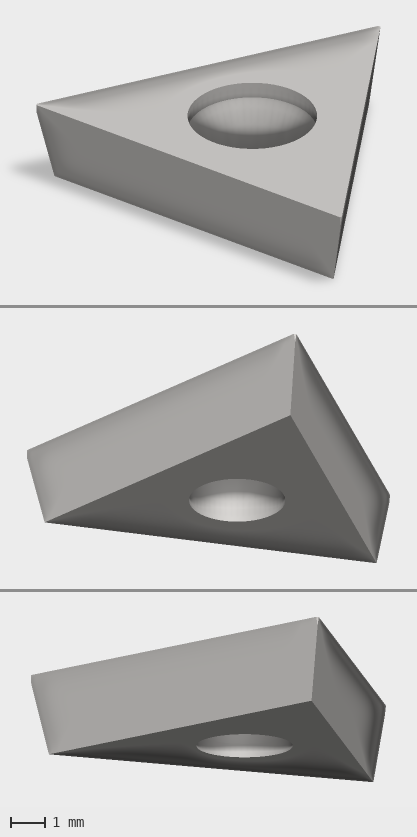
import cadquery as cq
import math

top_width = 10.93
thickness = 2.38

clearance_angle = 7
corner_cut = 0.07

bore_radius = 1.4
seat_radius = 1.88
seat_wall_depth = 0.49
seat_bottom_depth = 1.98

sharp_side = top_width + corner_cut / math.cos(math.radians(30))
corner_radius = sharp_side / math.sqrt(3)
top_height = top_width * math.sqrt(3) / 2
hole_y = sharp_side / (2 * math.sqrt(3)) - top_height / 2
bottom_z = -thickness / 2
top_z = thickness / 2


def tapered_triangle():
    """Equilateral triangle, one tip toward +Y, narrowing downward."""
    corners = []
    for angle in (90, 210, 330):
        turn = math.radians(angle)
        corners.append((corner_radius * math.cos(turn), hole_y + corner_radius * math.sin(turn)))
    return (
        cq.Workplane("XY", origin=(0, 0, top_z))
        .polyline(corners)
        .close()
        .extrude(-thickness, taper=clearance_angle)
    )


def corner_flats(body):
    """Cut each corner with a vertical plane square to its bisector."""
    flat_distance = corner_radius - corner_cut
    block_size = 2 * thickness
    block = cq.Workplane("XY").box(block_size, block_size, block_size)
    block = block.translate((flat_distance + block_size / 2, 0, 0))
    for angle in (90, 210, 330):
        cutter = block.rotate((0, 0, 0), (0, 0, 1), angle).translate((0, hole_y, 0))
        body = body.cut(cutter)
    return body


def screw_hole():
    """Through bore with a rounded seat tangent to the bore wall."""
    wall_bottom_z = top_z - seat_wall_depth
    seat_bottom_z = top_z - seat_bottom_depth
    seat_drop = wall_bottom_z - seat_bottom_z
    seat_step = seat_radius - bore_radius
    arc_radius = (seat_drop**2 + seat_step**2) / (2 * seat_step)
    half_sweep = math.asin(seat_drop / arc_radius) / 2
    arc_middle = (
        bore_radius + arc_radius * (1 - math.cos(half_sweep)),
        seat_bottom_z + arc_radius * math.sin(half_sweep),
    )
    return (
        cq.Workplane("XZ")
        .moveTo(0, bottom_z)
        .lineTo(bore_radius, bottom_z)
        .lineTo(bore_radius, seat_bottom_z)
        .threePointArc(arc_middle, (seat_radius, wall_bottom_z))
        .lineTo(seat_radius, top_z)
        .lineTo(0, top_z)
        .close()
        .revolve(360, (0, 0, 0), (0, 1, 0))
        .translate((0, hole_y, 0))
    )


result = corner_flats(tapered_triangle()).cut(screw_hole())